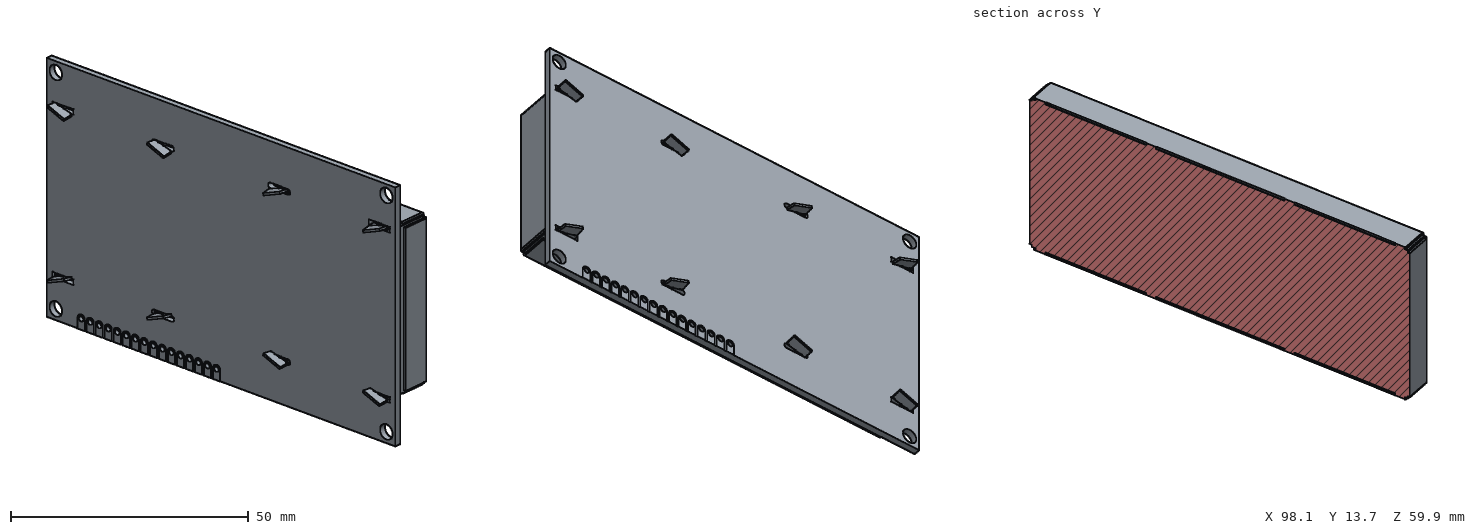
import cadquery as cq

BOARD_WIDTH = 98.07
BOARD_HEIGHT = 59.94
BOARD_THICKNESS = 1.6
MOUNT_HOLE_DIAMETER = 3.5
MOUNT_HOLE_SPACING_X = 93.0
MOUNT_HOLE_SPACING_Z = 54.7

PAD_COUNT = 16
PAD_PITCH = 2.54
PAD_WIDTH = 2.0
PAD_THICKNESS = 0.1
PAD_HOLE_DIAMETER = 1.2
PAD_HOLE_FROM_EDGE = 2.55
FIRST_PAD_X = -39.3

SHEET = 0.55
BEZEL_WIDTH = 96.6
BEZEL_CENTRE_X = -0.15
BEZEL_HEIGHT = 39.9
BEZEL_DEPTH = 9.65
BEND_RADIUS = 0.75
CORNER_RELIEF = 1.1
LONG_FLAP_GAP = 2.9
LEFT_FLAP_GAP = 0.2
RIGHT_FLAP_GAP = 2.7

TAB_OUTER_EDGES_X = (46.85, 18.8)
TAB_WIDTH = 5.0
NECK_WIDTH = TAB_WIDTH / 2
TAB_PROJECTION = 2.4
TAB_BASE_ANGLE = 15.0
TWIST_AXIS_OFFSET = 0.8
TAB_END_ANGLE = 21.0
SQUARE_SLOT_LENGTH = 5.9
ROUND_SLOT_LENGTH = 6.2
SLOT_HEIGHT = 1.3
SLOT_OVERHANG = 0.65

bezel_rear = BOARD_THICKNESS + BEZEL_DEPTH
block_width = BEZEL_WIDTH - 2 * SHEET
block_height = BEZEL_HEIGHT - 2 * SHEET
tab_z = (BEZEL_HEIGHT - SHEET) / 2
outer_edge_x, inner_edge_x = TAB_OUTER_EDGES_X


def box(x_range, y_range, z_range):
    """Axis-aligned box between pairs of coordinates."""
    sizes = [abs(high - low) for low, high in (x_range, y_range, z_range)]
    middles = [(low + high) / 2 for low, high in (x_range, y_range, z_range)]
    return cq.Workplane("XY").box(*sizes).translate(tuple(middles))


def centred(size):
    return (-size / 2, size / 2)


def board_plane(y=0):
    """Workplane at depth y with X to the right and Z up; positive extrusion is toward -Y."""
    return cq.Workplane("XZ", origin=(0, y, 0))


def slots(tab_edge_x, length):
    """Centres of the four slots whose tabs have their outer edges at +/-tab_edge_x."""
    centre_x = tab_edge_x + SLOT_OVERHANG - length / 2
    return board_plane().rect(2 * centre_x, 2 * tab_z, forConstruction=True).vertices()


def make_board():
    board = box(centred(BOARD_WIDTH), (0, BOARD_THICKNESS), centred(BOARD_HEIGHT))
    holes = (
        board_plane()
        .rect(MOUNT_HOLE_SPACING_X, MOUNT_HOLE_SPACING_Z, forConstruction=True)
        .vertices()
        .circle(MOUNT_HOLE_DIAMETER / 2)
        .extrude(-BOARD_THICKNESS)
    )
    square_slots = slots(outer_edge_x, SQUARE_SLOT_LENGTH).rect(SQUARE_SLOT_LENGTH, SLOT_HEIGHT)
    round_slots = slots(inner_edge_x, ROUND_SLOT_LENGTH).slot2D(ROUND_SLOT_LENGTH, SLOT_HEIGHT)
    for outlines in (square_slots, round_slots):
        board = board.cut(outlines.extrude(-BOARD_THICKNESS))
    return board.cut(holes)


def add_pads(board):
    """Round-topped contacts on the front face, each with a plated hole through the board."""
    bottom_z = -BOARD_HEIGHT / 2
    hole_z = bottom_z + PAD_HOLE_FROM_EDGE
    half_width = PAD_WIDTH / 2
    pad_centres = [(FIRST_PAD_X + i * PAD_PITCH, hole_z) for i in range(PAD_COUNT)]
    for x, z in pad_centres:
        pad = (
            board_plane()
            .moveTo(x - half_width, bottom_z)
            .lineTo(x - half_width, z)
            .threePointArc((x, z + half_width), (x + half_width, z))
            .lineTo(x + half_width, bottom_z)
            .close()
            .extrude(PAD_THICKNESS)
        )
        board = board.union(pad)
    holes = (
        board_plane(-PAD_THICKNESS)
        .pushPoints(pad_centres)
        .circle(PAD_HOLE_DIAMETER / 2)
        .extrude(-(PAD_THICKNESS + BOARD_THICKNESS))
    )
    return board.cut(holes)


def make_display():
    """Solid block wrapped by the folded bezel, with open corners between the flaps."""
    wrap_x = (
        box(centred(BEZEL_WIDTH), (BOARD_THICKNESS, bezel_rear), centred(BEZEL_HEIGHT - 2 * CORNER_RELIEF))
        .edges("|Z and >Y")
        .fillet(BEND_RADIUS)
    )
    wrap_z = (
        box(centred(BEZEL_WIDTH - 2 * CORNER_RELIEF), (BOARD_THICKNESS, bezel_rear), centred(BEZEL_HEIGHT))
        .edges("|X and >Y")
        .fillet(BEND_RADIUS)
    )
    block = box(centred(block_width), (BOARD_THICKNESS, bezel_rear - SHEET), centred(block_height))

    def gap(depth, x_range, z_range):
        return box(x_range, (BOARD_THICKNESS, BOARD_THICKNESS + depth), z_range)

    half_width = BEZEL_WIDTH / 2
    half_height = BEZEL_HEIGHT / 2
    display = (
        wrap_x.union(wrap_z)
        .cut(gap(LONG_FLAP_GAP, centred(BEZEL_WIDTH), (half_height - SHEET, half_height)))
        .cut(gap(LONG_FLAP_GAP, centred(BEZEL_WIDTH), (-half_height, SHEET - half_height)))
        .cut(gap(LEFT_FLAP_GAP, (-half_width, SHEET - half_width), centred(BEZEL_HEIGHT)))
        .cut(gap(RIGHT_FLAP_GAP, (half_width - SHEET, half_width), centred(BEZEL_HEIGHT)))
    )
    return display.union(block).translate((BEZEL_CENTRE_X, 0, 0))


def make_tab(outer_x):
    """Upper right tab: a straight neck through the board, then a wide end twisted about an axis along Y."""
    neck = box(
        (outer_x - NECK_WIDTH, outer_x),
        (0, BOARD_THICKNESS + LONG_FLAP_GAP),
        (tab_z - SHEET / 2, tab_z + SHEET / 2),
    )
    twist_axis_x = outer_x - TAB_WIDTH / 2 + TWIST_AXIS_OFFSET
    end = (
        cq.Workplane("XZ", origin=(twist_axis_x, 0, tab_z))
        .transformed(rotate=(0, 0, TAB_BASE_ANGLE))
        .center(-TWIST_AXIS_OFFSET, 0)
        .rect(TAB_WIDTH, SHEET)
        .center(TWIST_AXIS_OFFSET, 0)
        .workplane(offset=TAB_PROJECTION)
        .transformed(rotate=(0, 0, TAB_END_ANGLE - TAB_BASE_ANGLE))
        .center(-TWIST_AXIS_OFFSET, 0)
        .rect(TAB_WIDTH, SHEET)
        .loft(ruled=True)
    )
    return neck.union(end)


result = add_pads(make_board()).union(make_display())
for edge_x in TAB_OUTER_EDGES_X:
    right_tab = make_tab(edge_x)
    top_pair = right_tab.union(right_tab.mirror("YZ"))
    result = result.union(top_pair).union(top_pair.mirror("XY"))